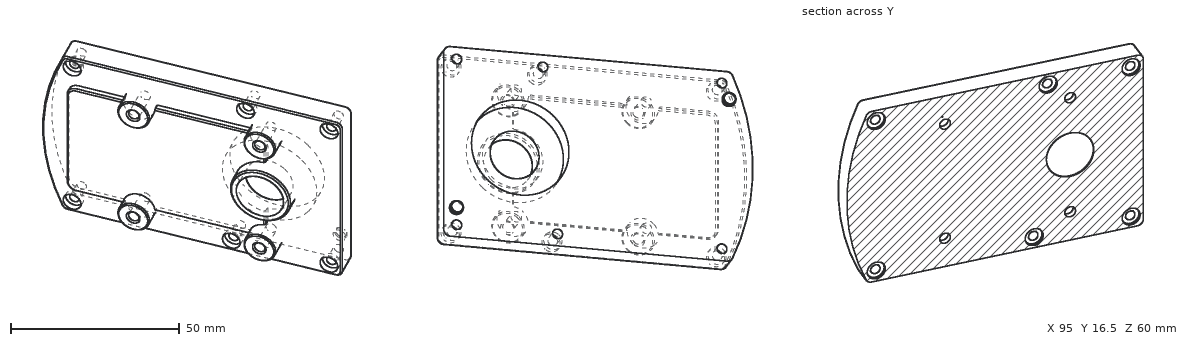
import cadquery as cq

plate_length = 95.0
plate_height = 60.0
plate_thickness = 8.0
plate_right = 23.5
plate_left = plate_right - plate_length
plate_left_radius = 70.0
plate_corner_radius = 2.0
plate_edge_chamfer = 0.5

pad_left = -63.0
pad_right = 0.0
pad_height = 2.0
pad_corner_radius = 3.0
pad_edge_chamfer = 0.5

boss_spacing = 40.0
boss_diameter = 10.0
boss_height = 7.0
boss_edge_chamfer = 0.4
root_fillet = 0.5
boss_hole_diameter = 3.3
boss_hole_depth = 10.0
boss_hole_chamfer = 0.5
boss_points = [(x, z) for x in (-boss_spacing, 0.0) for z in (-boss_spacing / 2, boss_spacing / 2)]
pad_width = boss_spacing

ring_diameter = 19.0
ring_height = 6.5
ring_edge_chamfer = 0.5
bore_diameter = 15.0
bearing_seat_diameter = 30.0
bearing_seat_depth = 6.5

screw_diameter = 3.0
screw_head_diameter = 5.6
screw_head_depth = 2.0
screw_left = -62.0
screw_right = 19.5
screw_upper_middle = -7.0
screw_lower_middle = -11.5
screw_z = 26.2
screw_points = [
    (screw_left, screw_z),
    (screw_upper_middle, screw_z),
    (screw_right, screw_z),
    (screw_left, -screw_z),
    (screw_lower_middle, -screw_z),
    (screw_right, -screw_z),
]

pin_diameter = 4.0
pin_height = 1.5
pin_edge_chamfer = 0.3
pin_left = -64.0
pin_right = 19.75
pin_z = 21.0
pin_points = [(pin_left, pin_z), (pin_right, -pin_z)]


def front_plane(height=0.0):
    """XZ work plane at the given height in front of the plate, with its normal toward -Y."""
    return cq.Workplane("XZ", origin=(0, -height, 0))


def make_plate():
    half_height = plate_height / 2
    sagitta = plate_left_radius - (plate_left_radius**2 - half_height**2) ** 0.5
    corner_x = plate_left + sagitta
    return (
        front_plane()
        .moveTo(corner_x, -half_height)
        .lineTo(plate_right, -half_height)
        .lineTo(plate_right, half_height)
        .lineTo(corner_x, half_height)
        .threePointArc((plate_left, 0), (corner_x, -half_height))
        .close()
        .extrude(-plate_thickness)
        .edges("|Y")
        .fillet(plate_corner_radius)
        .faces("<Y")
        .edges()
        .chamfer(plate_edge_chamfer)
    )


def make_pad():
    return (
        front_plane()
        .center((pad_left + pad_right) / 2, 0)
        .rect(pad_right - pad_left, pad_width)
        .extrude(pad_height)
        .edges("|Y and <X")
        .fillet(pad_corner_radius)
        .faces("<Y")
        .edges()
        .chamfer(pad_edge_chamfer)
    )


def make_post(points, diameter, height, edge_chamfer):
    """Round posts with a chamfered top and a concave fillet where they meet the plate."""
    posts = front_plane().pushPoints(points).circle(diameter / 2).extrude(height)
    posts = posts.faces("<Y").edges().chamfer(edge_chamfer)
    radius = diameter / 2
    flare_profile = (
        cq.Workplane("XY")
        .lineTo(radius + root_fillet, 0)
        .radiusArc((radius, -root_fillet), -root_fillet)
        .lineTo(0, -root_fillet)
        .close()
    )
    flare = flare_profile.revolve(360, (0, 0, 0), (0, 1, 0))
    for x, z in points:
        posts = posts.union(flare.translate((x, 0, z)))
    return posts


def cut_boss_holes(body):
    holes = front_plane(boss_height).pushPoints(boss_points).circle(boss_hole_diameter / 2).extrude(-boss_hole_depth)
    mouth = cq.Solid.makeCone(
        boss_hole_diameter / 2 + boss_hole_chamfer,
        boss_hole_diameter / 2,
        boss_hole_chamfer,
        dir=cq.Vector(0, 1, 0),
    )
    for x, z in boss_points:
        holes = holes.union(cq.Workplane(mouth.translate(cq.Vector(x, -boss_height, z))))
    return body.cut(holes)


def cut_screw_holes(body):
    shanks = front_plane().pushPoints(screw_points).circle(screw_diameter / 2).extrude(-plate_thickness)
    heads = front_plane().pushPoints(screw_points).circle(screw_head_diameter / 2).extrude(-screw_head_depth)
    return body.cut(shanks).cut(heads)


def cut_bearing_bore(body):
    bore = front_plane(ring_height).circle(bore_diameter / 2).extrude(-(ring_height + plate_thickness))
    seat = front_plane(-plate_thickness).circle(bearing_seat_diameter / 2).extrude(bearing_seat_depth)
    return body.cut(bore).cut(seat)


def make_pins():
    return (
        front_plane(-plate_thickness)
        .pushPoints(pin_points)
        .circle(pin_diameter / 2)
        .extrude(-pin_height)
        .faces(">Y")
        .edges()
        .chamfer(pin_edge_chamfer)
    )


body = make_plate().union(make_pad())
body = body.union(make_post(boss_points, boss_diameter, boss_height, boss_edge_chamfer))
body = body.union(make_post([(0, 0)], ring_diameter, ring_height, ring_edge_chamfer))
body = body.union(make_pins())
body = cut_boss_holes(body)
body = cut_screw_holes(body)
result = cut_bearing_bore(body)